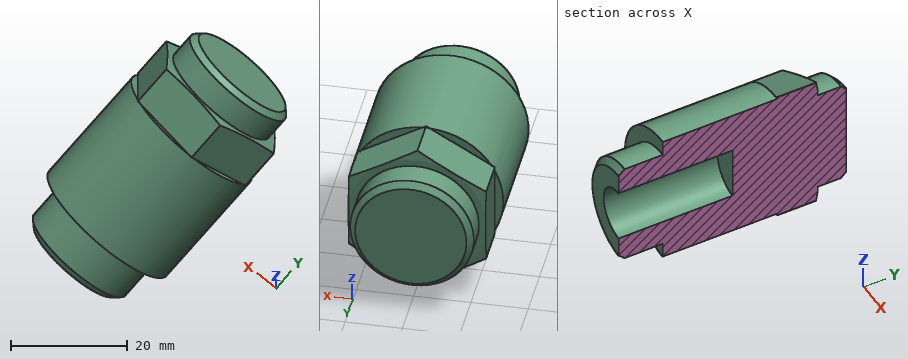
import cadquery as cq
import math

length = 44.6
front_shoulder = 8.65
hex_start = 31.1
hex_end = 39.02

front_diameter = 20.95
body_diameter = 27.0
back_diameter = 21.6
across_flats = 24.0
across_corners = across_flats / math.cos(math.pi / 6)

front_chamfer = 1.15
back_chamfer = 1.05
hex_chamfer_depth = 0.3

bore_diameter = 10.5
bore_depth = 22.3


def cylinder(diameter, start, end):
    """Cylinder about the Y axis between two positions."""
    return (
        cq.Workplane("XZ", origin=(0, start, 0))
        .circle(diameter / 2)
        .extrude(start - end)
    )


def hexagon():
    """Hexagon with corners on Z and a conical chamfer on its back corners."""
    prism = (
        cq.Workplane("XZ", origin=(0, hex_start, 0))
        .transformed(rotate=(0, 0, 90))
        .polygon(6, across_corners)
        .extrude(hex_start - hex_end)
    )
    face_radius = across_flats / 2
    corner_radius = across_corners / 2
    envelope = (
        cq.Workplane("XY")
        .moveTo(0, hex_start)
        .lineTo(corner_radius, hex_start)
        .lineTo(corner_radius, hex_end - hex_chamfer_depth)
        .lineTo(face_radius, hex_end)
        .lineTo(0, hex_end)
        .close()
        .revolve(360, (0, 0, 0), (0, 1, 0))
    )
    return prism.intersect(envelope)


front_end = cylinder(front_diameter, 0, front_shoulder).faces("<Y").chamfer(front_chamfer)
body = cylinder(body_diameter, front_shoulder, hex_start)
back_end = cylinder(back_diameter, hex_end, length).faces(">Y").chamfer(back_chamfer)
bore = cylinder(bore_diameter, 0, bore_depth)

result = front_end.union(body).union(hexagon()).union(back_end).cut(bore)